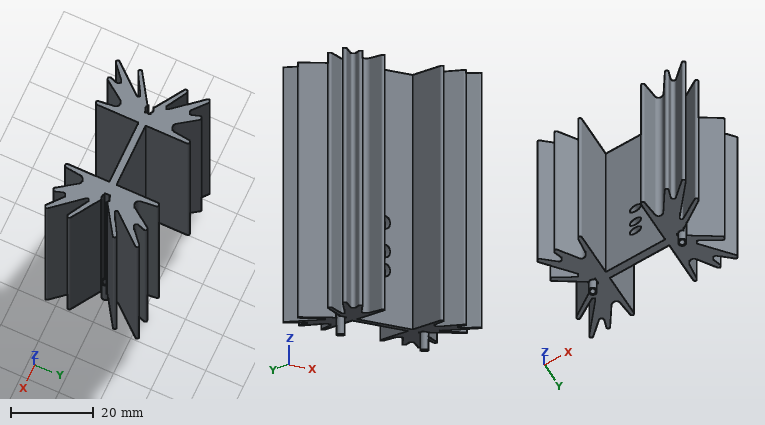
import math

import cadquery as cq

TOTAL_HEIGHT = 68.0
WIDTH = 42.0
DEPTH = 25.0

PIN_PROTRUSION = 4.35
SINK_HEIGHT = TOTAL_HEIGHT - PIN_PROTRUSION
WEB_THICKNESS = 1.9
CHANNEL_WIDTH = 16.85

TIP_RADIUS = 0.51
OUTER_TIP_X = WIDTH / 2 - TIP_RADIUS
TOP_TIP_Y = DEPTH / 2 - TIP_RADIUS
INNER_TIP_X = CHANNEL_WIDTH / 2 + TIP_RADIUS
MIDDLE_TIP_X = 15.7
SIDE_TIP_Y = 6.05
INNER_VALLEY = (11.0, 8.15, 1.15)
MIDDLE_VALLEY = (16.25, 9.85, 0.7)
OUTER_VALLEY = (14.95, 3.95, 0.5)

PIN_X = 12.7
PIN_DIAMETER = 2.05
PIN_HOLE_DIAMETER = 1.4
PIN_INSERTION = 5.65
PIN_LENGTH = PIN_PROTRUSION + PIN_INSERTION
BORE_DIAMETER = PIN_DIAMETER
RELIEF_WIDTH = 1.4
RELIEF_DEPTH = 1.15
LIP_X = PIN_X + 0.8
LIP_HALF_HEIGHT = 0.9

SCREW_HOLE_DIAMETER = 3.2
SCREW_HOLE_HEIGHTS = (13.6, 18.35, 25.5)


def crossing_tangent(start, end, start_turn):
    """Ends of the line that crosses between two discs (x, y, radius).

    start_turn is 1 when the outline goes counterclockwise round the first disc
    and -1 when it goes clockwise; it goes the other way round the second disc.
    """
    x1, y1, r1 = start
    x2, y2, r2 = end
    distance = math.hypot(x2 - x1, y2 - y1)
    heading = math.atan2(y2 - y1, x2 - x1)
    departure = heading - start_turn * math.acos((r1 + r2) / distance)
    leave = (x1 + r1 * math.cos(departure), y1 + r1 * math.sin(departure))
    arrive = (x2 - r2 * math.cos(departure), y2 - r2 * math.sin(departure))
    return leave, arrive


def arc_middle(disc, start, end):
    """Point of a disc's edge halfway between two of its edge points, on the shorter arc."""
    x, y, radius = disc
    toward_x = (start[0] + end[0]) / 2 - x
    toward_y = (start[1] + end[1]) / 2 - y
    length = math.hypot(toward_x, toward_y)
    return (x + radius * toward_x / length, y + radius * toward_y / length)


def make_fin_quarter():
    """Half of the fin cluster at x > 0: the part at y > 0, at full height."""
    discs = [
        (INNER_TIP_X, TOP_TIP_Y, TIP_RADIUS),
        INNER_VALLEY,
        (MIDDLE_TIP_X, TOP_TIP_Y, TIP_RADIUS),
        MIDDLE_VALLEY,
        (OUTER_TIP_X, TOP_TIP_Y, TIP_RADIUS),
        OUTER_VALLEY,
        (OUTER_TIP_X, SIDE_TIP_Y, TIP_RADIUS),
    ]
    lip_corner = (LIP_X, LIP_HALF_HEIGHT, 0)
    arrive = (CHANNEL_WIDTH / 2, TOP_TIP_Y)
    outline = cq.Workplane("XY").moveTo(CHANNEL_WIDTH / 2, 0).lineTo(*arrive)
    turn = -1
    for disc, following in zip(discs, discs[1:] + [lip_corner]):
        leave, next_arrive = crossing_tangent(disc, following, turn)
        outline = outline.threePointArc(arc_middle(disc, arrive, leave), leave).lineTo(*next_arrive)
        arrive = next_arrive
        turn = -turn
    return outline.lineTo(LIP_X, 0).close().extrude(SINK_HEIGHT)


def make_bore():
    """Cutter for the pin bore at x > 0: a round hole with a flat-backed relief toward the web."""
    hole = cq.Workplane("XY", origin=(PIN_X, 0, 0)).circle(BORE_DIAMETER / 2).extrude(SINK_HEIGHT)
    relief = cq.Workplane("XY", origin=(PIN_X - RELIEF_DEPTH / 2, 0, 0)).box(
        RELIEF_DEPTH, RELIEF_WIDTH, SINK_HEIGHT, centered=(True, True, False)
    )
    return hole.union(relief)


def make_heat_sink():
    """Web with a fin cluster at each end, drilled for the screws and the pins."""
    quarter = make_fin_quarter()
    half = quarter.union(quarter.mirror("XZ"))
    web = cq.Workplane("XY").box(
        CHANNEL_WIDTH, WEB_THICKNESS, SINK_HEIGHT, centered=(True, True, False)
    )
    sink = half.union(half.mirror("YZ")).union(web)

    bore = make_bore()
    screw_holes = (
        cq.Workplane("XZ")
        .pushPoints([(0, height) for height in SCREW_HOLE_HEIGHTS])
        .circle(SCREW_HOLE_DIAMETER / 2)
        .extrude(WEB_THICKNESS, both=True)
    )
    return sink.cut(screw_holes).cut(bore).cut(bore.mirror("YZ"))


def make_pin(x):
    """Hollow pin that hangs below the sink, its upper part in a bore."""
    return (
        cq.Workplane("XY", origin=(x, 0, -PIN_PROTRUSION))
        .circle(PIN_DIAMETER / 2)
        .circle(PIN_HOLE_DIAMETER / 2)
        .extrude(PIN_LENGTH)
    )


heat_sink = make_heat_sink()
pins = [make_pin(x) for x in (-PIN_X, PIN_X)]

result = cq.Compound.makeCompound([heat_sink.val(), *[pin.val() for pin in pins]])